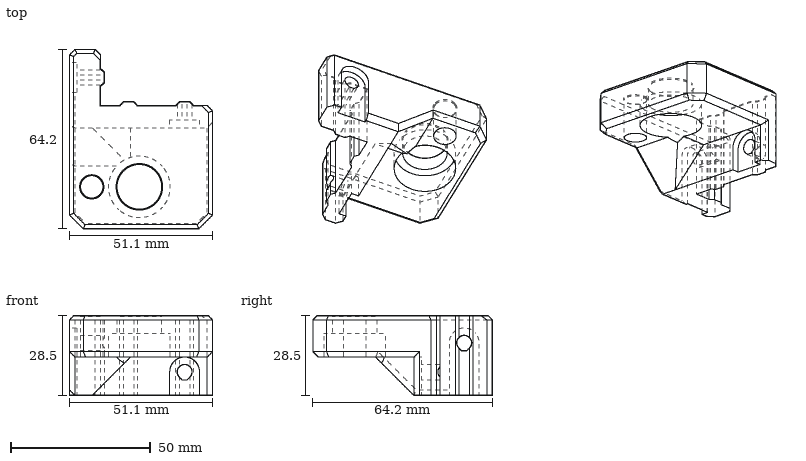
import cadquery as cq
import math

length_x = 51.1
length_y = 64.15
height = 28.5

arm_width = 11.15
back_y = 44.1
front_corner = 4.95
rear_corner = 2.0

key_offset = 9.95
key_pitch = 20.0
wall_key_count = 2
key_base = 6.35
key_tip = 3.7
key_height = 1.35

plate_bottom = 13.65
wall_front_y = 36.1
gusset_foot_x = 8.1

top_chamfer = 1.5
bottom_chamfer = 2.0
fine_chamfer = 0.2
hole_chamfer = 0.3

hole_y = 15.0
bore_x = 24.95
bore_diameter = 16.0
counterbore_diameter = 22.0
bore_length = 6.4
side_hole_x = 7.95
side_hole_diameter = 8.0

bolt_diameter = 5.25
bolt_flat_drop = 2.8
head_slot_width = 10.65
head_slot_depth = 2.75
arm_bolt_z = 18.8
wall_bolt_z = 8.4
arm_bolt_y = back_y + key_offset
wall_bolt_x = arm_width + key_offset + (wall_key_count - 1) * key_pitch

tol = 0.005


def make_body():
    outline = [
        (front_corner, 0),
        (length_x - front_corner, 0),
        (length_x, front_corner),
        (length_x, back_y - rear_corner),
        (length_x - rear_corner, back_y),
        (arm_width, back_y),
        (arm_width, length_y - rear_corner),
        (arm_width - rear_corner, length_y),
        (rear_corner, length_y),
        (0, length_y - rear_corner),
        (0, front_corner),
    ]
    return cq.Workplane("XY").polyline(outline).close().extrude(height)


def make_key():
    """Trapezoidal key centred on X, rising towards +Y from y = 0."""
    profile = [
        (-key_base / 2, -key_height),
        (-key_base / 2, 0),
        (-key_tip / 2, key_height),
        (key_tip / 2, key_height),
        (key_base / 2, 0),
        (key_base / 2, -key_height),
    ]
    return cq.Workplane("XY").polyline(profile).close().extrude(height)


def add_keys(body):
    for step in range(wall_key_count):
        key_x = arm_width + key_offset + step * key_pitch
        body = body.union(make_key().translate((key_x, back_y, 0)))
    arm_key = make_key().rotate((0, 0, 0), (0, 0, 1), -90)
    return body.union(arm_key.translate((arm_width, arm_bolt_y, 0)))


def make_underside_void():
    """Space below the plate and ahead of the rear wall, less the 45 degree corner gusset."""
    void = cq.Workplane("XY").box(length_x, wall_front_y, plate_bottom, centered=False)
    ramp = (
        cq.Workplane("YZ")
        .polyline([
            (wall_front_y, 0),
            (wall_front_y - plate_bottom, plate_bottom),
            (wall_front_y, plate_bottom),
        ])
        .close()
        .extrude(length_x)
    )
    leaning_side = (
        cq.Workplane("XZ")
        .polyline([
            (0, 0),
            (gusset_foot_x, 0),
            (gusset_foot_x + plate_bottom, plate_bottom),
            (0, plate_bottom),
        ])
        .close()
        .extrude(-length_y)
    )
    return void.cut(ramp.intersect(leaning_side))


def make_bolt_cut(slot_bottom):
    """Teardrop hole along +Y from y = 0, with a round-topped head slot open downwards."""
    tangent = bolt_diameter / 2 * math.sqrt(0.5)
    flat_half = 2 * tangent - bolt_flat_drop
    hole = (
        cq.Workplane("XZ")
        .moveTo(-tangent, -tangent)
        .threePointArc((0, bolt_diameter / 2), (tangent, -tangent))
        .lineTo(flat_half, -bolt_flat_drop)
        .lineTo(-flat_half, -bolt_flat_drop)
        .close()
        .extrude(-2 * arm_width)
    )
    radius = head_slot_width / 2
    slot = (
        cq.Workplane("XZ")
        .moveTo(-radius, slot_bottom)
        .lineTo(-radius, 0)
        .threePointArc((0, radius), (radius, 0))
        .lineTo(radius, slot_bottom)
        .close()
        .extrude(-head_slot_depth)
    )
    return hole.union(slot)


def cut_arm_bolt(body):
    bolt = make_bolt_cut(-arm_bolt_z).rotate((0, 0, 0), (0, 0, 1), -90)
    return body.cut(bolt.translate((0, arm_bolt_y, arm_bolt_z)))


def cut_wall_bolt(body):
    bolt = make_bolt_cut(-wall_bolt_z)
    return body.cut(bolt.translate((wall_bolt_x, wall_front_y, wall_bolt_z)))


def edges_inside(body, low, high):
    """Edges lying wholly inside the box between two corners, boundary included."""
    low = tuple(value - tol for value in low)
    high = tuple(value + tol for value in high)
    return body.edges(cq.selectors.BoxSelector(low, high, boundingbox=True))


def chamfer_outer_top(body):
    """Break every top edge except the two that meet at the inner corner."""
    inner = edges_inside(body, (arm_width, back_y, height), (length_x, length_y - rear_corner, height))
    rim = body.faces(">Z").edges()
    outer = [edge for edge in rim.vals() if not any(edge.isSame(other) for other in inner.vals())]
    return body.newObject(outer).chamfer(top_chamfer)


def chamfer_inner_top(body):
    """Lightly break the inner top edges, keys included."""
    inner = edges_inside(
        body,
        (arm_width - fine_chamfer, back_y - fine_chamfer, height),
        (length_x, length_y, height),
    )
    return inner.chamfer(fine_chamfer)


def chamfer_underside(body):
    """Break the lower outer edges, along the gusset and up to the arm's head slot."""
    slot_edge_y = arm_bolt_y - head_slot_width / 2
    left = edges_inside(body, (0, front_corner, 0), (0, slot_edge_y, plate_bottom))
    right = edges_inside(
        body, (length_x, front_corner, 0), (length_x, wall_front_y, plate_bottom)
    )
    front = edges_inside(body, (0, 0, plate_bottom), (length_x, front_corner, plate_bottom))
    return left.add(right).add(front).chamfer(bottom_chamfer)


def cut_vertical_holes(body):
    for x, diameter in ((bore_x, bore_diameter), (side_hole_x, side_hole_diameter)):
        hole = cq.Workplane("XY").center(x, hole_y).circle(diameter / 2).extrude(height)
        rim = (
            cq.Workplane("XY", origin=(x, hole_y, height))
            .circle(diameter / 2 + hole_chamfer)
            .extrude(-hole_chamfer, taper=45)
        )
        body = body.cut(hole).cut(rim)
    counterbore = (
        cq.Workplane("XY")
        .center(bore_x, hole_y)
        .circle(counterbore_diameter / 2)
        .extrude(height - bore_length)
    )
    return body.cut(counterbore)


body = chamfer_outer_top(make_body())
body = chamfer_inner_top(add_keys(body))
body = body.cut(make_underside_void())
body = cut_arm_bolt(body)
body = chamfer_underside(body)
body = cut_wall_bolt(body)
result = cut_vertical_holes(body)